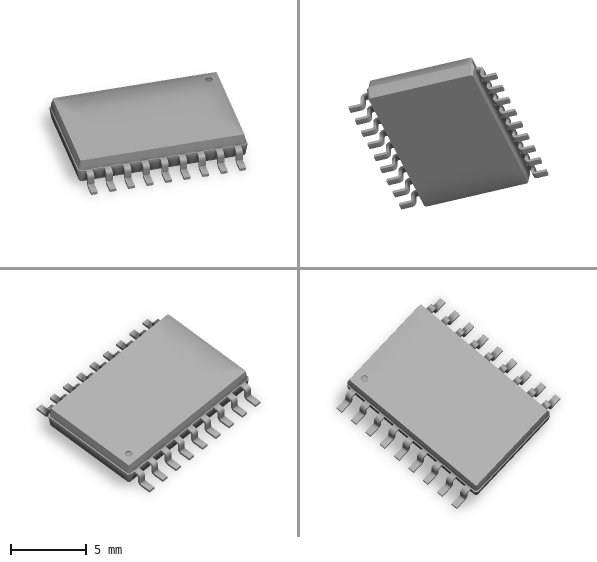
import cadquery as cq
import math

BODY_WIDTH = 7.5
BODY_LENGTH = 11.6
BODY_BOTTOM = 0.1
BODY_TOP = 1.75
CORNER_CHAMFER = 0.17
DRAFT_ANGLE = 9.0
UPPER_LEDGE = 0.075

LEAD_SPAN = 10.3
LEADS_PER_SIDE = 9
LEAD_PITCH = 1.27
LEAD_WIDTH = 0.45
LEAD_THICKNESS = 0.2
SHIN_SETBACK = 0.85
INNER_BEND_RADIUS = 0.1
OUTER_BEND_RADIUS = INNER_BEND_RADIUS + LEAD_THICKNESS
LEAD_EMBED = 0.3

PARTING_HEIGHT = (BODY_BOTTOM + BODY_TOP) / 2
BELT_TOP = PARTING_HEIGHT + LEAD_THICKNESS / 2
BELT_BOTTOM = PARTING_HEIGHT - LEAD_THICKNESS / 2

MARK_DIAMETER = 0.5
MARK_DEPTH = 0.1
MARK_EDGE_DISTANCE = 0.9


def tapered_slab(inset, z_start, z_end, taper):
    """Chamfered rectangle, inset from the belt outline, extruded between two heights."""
    chamfer = CORNER_CHAMFER - inset * (2 - math.sqrt(2))
    half_width = BODY_WIDTH / 2 - inset
    half_length = BODY_LENGTH / 2 - inset
    outline = [
        (half_width, half_length - chamfer),
        (half_width - chamfer, half_length),
        (chamfer - half_width, half_length),
        (-half_width, half_length - chamfer),
        (-half_width, chamfer - half_length),
        (chamfer - half_width, -half_length),
        (half_width - chamfer, -half_length),
        (half_width, chamfer - half_length),
    ]
    plane = cq.Workplane("XY").workplane(offset=z_start)
    return plane.polyline(outline).close().extrude(z_end - z_start, taper=taper)


def make_body():
    belt = tapered_slab(0, BELT_BOTTOM, BELT_TOP, 0)
    upper = tapered_slab(UPPER_LEDGE, BELT_TOP, BODY_TOP, DRAFT_ANGLE)
    lower = tapered_slab(0, -BELT_BOTTOM, -BODY_BOTTOM, DRAFT_ANGLE).mirror("XY")
    return belt.union(upper).union(lower)


def make_left_lead():
    """One lead on the -X side, centred on Y = 0."""
    tip = -LEAD_SPAN / 2
    shin_outer = tip + SHIN_SETBACK
    shin_inner = shin_outer + LEAD_THICKNESS
    root = -BODY_WIDTH / 2 + LEAD_EMBED
    inner = INNER_BEND_RADIUS
    outer = OUTER_BEND_RADIUS
    profile = (
        cq.Workplane("XZ")
        .moveTo(tip, 0)
        .lineTo(shin_inner - outer, 0)
        .radiusArc((shin_inner, outer), -outer)
        .lineTo(shin_inner, BELT_BOTTOM - inner)
        .radiusArc((shin_inner + inner, BELT_BOTTOM), inner)
        .lineTo(root, BELT_BOTTOM)
        .lineTo(root, BELT_TOP)
        .lineTo(shin_outer + outer, BELT_TOP)
        .radiusArc((shin_outer, BELT_TOP - outer), -outer)
        .lineTo(shin_outer, LEAD_THICKNESS + inner)
        .radiusArc((shin_outer - inner, LEAD_THICKNESS), inner)
        .lineTo(tip, LEAD_THICKNESS)
        .close()
    )
    return profile.extrude(LEAD_WIDTH / 2, both=True)


def add_leads(body):
    left_lead = make_left_lead()
    right_lead = left_lead.mirror("YZ")
    first_y = -LEAD_PITCH * (LEADS_PER_SIDE - 1) / 2
    for index in range(LEADS_PER_SIDE):
        y = first_y + index * LEAD_PITCH
        body = body.union(left_lead.translate((0, y, 0)))
        body = body.union(right_lead.translate((0, y, 0)))
    return body


def cut_pin_one_mark(part):
    mark_x = -BODY_WIDTH / 2 + MARK_EDGE_DISTANCE
    mark_y = BODY_LENGTH / 2 - MARK_EDGE_DISTANCE
    mark = (
        cq.Workplane("XY")
        .workplane(offset=BODY_TOP - MARK_DEPTH)
        .center(mark_x, mark_y)
        .circle(MARK_DIAMETER / 2)
        .extrude(MARK_DEPTH)
    )
    return part.cut(mark)


result = cut_pin_one_mark(add_leads(make_body()))